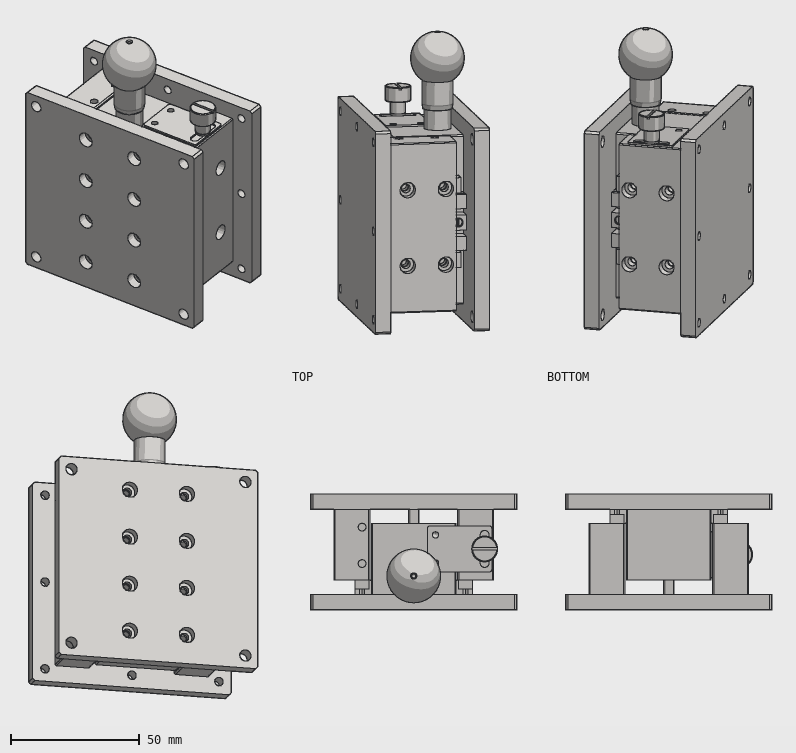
import cadquery as cq
import math


plate_size = 80.0
plate_thickness = 6.0
plate_corner_chamfer = 0.9
mid_z = plate_size / 2
plate_hole_offset = 35.0
front_corner_hole_diameter = 4.5
back_hole_diameter = 3.3

depth = 45.0
back_plate_y = depth - plate_thickness
block_back_y = 33.5
rail_front_y = 11.5

body_height = 66.9
body_bottom_z = mid_z - body_height / 2
body_top_z = mid_z + body_height / 2
rail_outer_x = 31.0
rail_inner_x = 17.0
block_half_width = 16.5
end_chamfer = 0.6
rail_outer_chamfer = 0.5

counterbore_diameter = 6.0
counterbore_depth = 4.0
clearance_diameter = 3.5
plate_bolt_x = 11.5
plate_bolt_pitch = 19.0
plate_bolt_rows = 4
plate_tap_diameter = 2.5
plate_tap_depth = 6.7
drill_point_angle = 118.0
rail_bolt_y = (15.6, 30.7)
rail_bolt_offset_z = 14.9
rail_clearance_depth = 7.8
rail_tap_diameter = 3.0
rail_tap_depth = 11.1

rail_top_hole_x = -20.1
rail_top_hole_y = (18.0, 32.1)
rail_top_hole_diameter = 3.0
rail_top_hole_depth = 5.6

lug_outer_x = 22.9
stop_inner_x = 17.4
stop_front_y = 8.0
stop_height = 6.0
stop_offset_z = 14.7
lug_height = 5.6
lug_offset_z = 8.2
lug_groove_x = 20.1
lug_groove_half_width = 1.0
lug_notch_diameter = 1.6
lug_notch_setback = 0.5
centre_lug_height = 6.0
set_screw_y = 9.0
set_screw_hole_diameter = 3.5
set_screw_diameter = 3.0
set_screw_recess = 0.5
set_screw_slot_width = 0.6

guide_pin_diameter = 4.0

clamp_left_x = 5.4
clamp_right_x = 30.3
clamp_width = 18.0
clamp_thickness = 0.7
clamp_corner_radius = 1.0
clamp_y = 23.6
clamp_top_z = body_top_z + clamp_thickness
clamp_screw_x = 27.5
clamp_slot_length = 14.4
clamp_slot_width = 3.5
clamp_stud_diameter = 3.2
clamp_neck_diameter = 5.6
clamp_neck_height = 0.9
clamp_shank_diameter = 6.0
clamp_head_bottom_z = 79.8
clamp_head_top_z = 85.8
clamp_head_diameter = 10.0
clamp_head_chamfer = 0.3
clamp_head_slot_width = 1.0
clamp_head_slot_depth = 0.9
clamp_bolt_x = 8.5
clamp_bolt_offset_y = 5.5
clamp_bolt_diameter = 2.5
clamp_bolt_depth = 3.3

handle_y = 13.2
overall_height = 111.5
ball_radius = 10.5
ball_hole_diameter = 1.6
ball_countersink_diameter = 2.5
ball_hole_depth = 4.5
handle_neck_diameter = 12.2
handle_taper_top_z = 83.3
handle_taper_bottom_z = 81.3
handle_taper_diameter = 11.5
handle_shaft_diameter = 10.6


def box(x_range, y_range, z_range):
    """Box between two limits on each axis."""
    size = [high - low for low, high in (x_range, y_range, z_range)]
    return cq.Workplane().box(*size, centered=False).translate((x_range[0], y_range[0], z_range[0]))


def rod(start, direction, diameter, length):
    """Round bar from a start point along a direction."""
    return cq.Workplane(
        cq.Solid.makeCylinder(diameter / 2, length, cq.Vector(*start), cq.Vector(*direction))
    )


def drilled_hole(start, direction, diameter, depth):
    """Blind hole with a conical drill point, used as a cutting tool."""
    radius = diameter / 2
    point_length = radius / math.tan(math.radians(drill_point_angle / 2))
    way = cq.Vector(*direction)
    tip = cq.Solid.makeCone(radius, 0, point_length, cq.Vector(*start) + way * depth, way)
    return rod(start, direction, diameter, depth).union(cq.Workplane(tip))


def make_plate(front_y):
    """Square plate with chamfered corners."""
    plate = box(
        (-plate_size / 2, plate_size / 2), (front_y, front_y + plate_thickness), (0, plate_size)
    )
    return plate.edges("|Y").chamfer(plate_corner_chamfer)


def make_rail(side):
    """Side rail with its two stop blocks; side is -1 for left and 1 for right."""
    x_range = sorted((side * rail_inner_x, side * rail_outer_x))
    rail = box(x_range, (rail_front_y, back_plate_y), (body_bottom_z, body_top_z))
    inner, outer = (">X", "<X") if side < 0 else ("<X", ">X")
    rail = rail.faces(inner).edges("|Y").chamfer(end_chamfer)
    rail = rail.faces(outer).edges("|Y").chamfer(rail_outer_chamfer)

    for stop_z in (mid_z - stop_offset_z, mid_z + stop_offset_z):
        rail = rail.union(
            box(
                sorted((side * stop_inner_x, side * lug_outer_x)),
                (stop_front_y, rail_front_y),
                (stop_z - stop_height / 2, stop_z + stop_height / 2),
            )
        )

    inward = (-side, 0, 0)
    for y in rail_bolt_y:
        for z in (mid_z - rail_bolt_offset_z, mid_z + rail_bolt_offset_z):
            start = (side * rail_outer_x, y, z)
            rail = rail.cut(rod(start, inward, counterbore_diameter, counterbore_depth))
            rail = rail.cut(rod(start, inward, clearance_diameter, rail_clearance_depth))
            rail = rail.cut(rod(start, inward, rail_tap_diameter, rail_tap_depth))
    return rail


def make_clamp_screw():
    """Slotted screw whose stud passes through the clamp plate onto the right rail."""
    neck_top_z = clamp_top_z + clamp_neck_height
    sections = (
        (clamp_stud_diameter, body_top_z, clamp_top_z),
        (clamp_neck_diameter, clamp_top_z, neck_top_z),
        (clamp_shank_diameter, neck_top_z, clamp_head_bottom_z),
    )
    head_height = clamp_head_top_z - clamp_head_bottom_z
    screw = rod((clamp_screw_x, clamp_y, clamp_head_bottom_z), (0, 0, 1), clamp_head_diameter, head_height)
    screw = screw.edges().chamfer(clamp_head_chamfer)
    half_slot = clamp_head_slot_width / 2
    screw = screw.cut(
        box(
            (clamp_screw_x - clamp_head_diameter, clamp_screw_x + clamp_head_diameter),
            (clamp_y - half_slot, clamp_y + half_slot),
            (clamp_head_top_z - clamp_head_slot_depth, clamp_head_top_z),
        )
    )
    for diameter, low_z, high_z in sections:
        screw = screw.union(rod((clamp_screw_x, clamp_y, low_z), (0, 0, 1), diameter, high_z - low_z))
    return screw


def make_base():
    """Back plate with both rails and the clamp screw fixed in the right rail."""
    base = make_plate(back_plate_y)
    for column in (-1, 0, 1):
        for row in (-1, 0, 1):
            if (column, row) != (0, 0):
                start = (column * plate_hole_offset, back_plate_y, mid_z + row * plate_hole_offset)
                base = base.cut(rod(start, (0, 1, 0), back_hole_diameter, plate_thickness))

    for side in (-1, 1):
        base = base.union(make_rail(side))
    for y in rail_top_hole_y:
        start = (rail_top_hole_x, y, body_top_z)
        base = base.cut(rod(start, (0, 0, -1), rail_top_hole_diameter, rail_top_hole_depth))
    return base.union(make_clamp_screw())


def make_lug(side, end):
    """Lug with a V groove across its outer end; end is -1 for the lower and 1 for the upper one."""
    lug_z = mid_z + end * lug_offset_z
    end_z = lug_z + end * lug_height / 2
    lug = box(
        sorted((side * block_half_width, side * lug_outer_x)),
        (plate_thickness, rail_front_y),
        (lug_z - lug_height / 2, lug_z + lug_height / 2),
    )
    groove_x = side * lug_groove_x
    groove = (
        cq.Workplane("XZ", origin=(0, plate_thickness, 0))
        .polyline(
            [
                (groove_x - lug_groove_half_width, end_z),
                (groove_x, end_z - end * lug_groove_half_width),
                (groove_x + lug_groove_half_width, end_z),
            ]
        )
        .close()
        .extrude(plate_thickness - rail_front_y)
    )
    notch_start = (side * lug_outer_x, rail_front_y + lug_notch_setback, lug_z)
    notch = rod(notch_start, (-side, 0, 0), lug_notch_diameter, lug_outer_x - block_half_width)
    return lug.cut(groove).cut(notch)


def make_centre_lug(side):
    """Middle lug with a slotted set screw sunk in its outer face."""
    lug = box(
        sorted((side * block_half_width, side * lug_outer_x)),
        (plate_thickness, rail_front_y),
        (mid_z - centre_lug_height / 2, mid_z + centre_lug_height / 2),
    )
    inward = (-side, 0, 0)
    sunk_x = lug_outer_x - set_screw_recess
    hole_start = (side * lug_outer_x, set_screw_y, mid_z)
    hole = rod(hole_start, inward, set_screw_hole_diameter, 2 * set_screw_recess)
    screw = rod((side * sunk_x, set_screw_y, mid_z), inward, set_screw_diameter, set_screw_recess)
    slot = box(
        sorted((side * sunk_x, side * (sunk_x - set_screw_recess))),
        (set_screw_y - set_screw_slot_width / 2, set_screw_y + set_screw_slot_width / 2),
        (mid_z - set_screw_diameter / 2, mid_z + set_screw_diameter / 2),
    )
    return lug.cut(hole).union(screw.cut(slot))


def make_clamp_plate():
    """Thin plate on the block's top end, slotted for the clamp screw."""
    plate = box(
        (clamp_left_x, clamp_right_x),
        (clamp_y - clamp_width / 2, clamp_y + clamp_width / 2),
        (body_top_z, clamp_top_z),
    )
    plate = plate.edges("|Z").fillet(clamp_corner_radius)
    slot = (
        cq.Workplane(origin=(clamp_screw_x, clamp_y, body_top_z))
        .slot2D(clamp_slot_length, clamp_slot_width, 90)
        .extrude(clamp_thickness)
    )
    return plate.cut(slot)


def make_slide():
    """Front plate with the sliding block, its lugs, the guide pin and the clamp plate."""
    block = box(
        (-block_half_width, block_half_width),
        (plate_thickness, block_back_y),
        (body_bottom_z, body_top_z),
    )
    block = block.edges("|Y").chamfer(end_chamfer)
    slide = make_plate(0).union(block)

    for side in (-1, 1):
        slide = slide.union(make_centre_lug(side))
        for end in (-1, 1):
            slide = slide.union(make_lug(side, end))

    pin_length = back_plate_y - block_back_y
    slide = slide.union(rod((0, block_back_y, mid_z), (0, 1, 0), guide_pin_diameter, pin_length))

    for column in (-1, 1):
        for row in (-1, 1):
            start = (column * plate_hole_offset, 0, mid_z + row * plate_hole_offset)
            slide = slide.cut(rod(start, (0, 1, 0), front_corner_hole_diameter, plate_thickness))
        for row in range(plate_bolt_rows):
            z = mid_z + (row - (plate_bolt_rows - 1) / 2) * plate_bolt_pitch
            start = (column * plate_bolt_x, 0, z)
            slide = slide.cut(rod(start, (0, 1, 0), counterbore_diameter, counterbore_depth))
            slide = slide.cut(rod(start, (0, 1, 0), clearance_diameter, plate_thickness))
            tap_start = (column * plate_bolt_x, plate_thickness, z)
            slide = slide.cut(drilled_hole(tap_start, (0, 1, 0), plate_tap_diameter, plate_tap_depth))

    slide = slide.union(make_clamp_plate())
    for y in (clamp_y - clamp_bolt_offset_y, clamp_y + clamp_bolt_offset_y):
        start = (clamp_bolt_x, y, clamp_top_z)
        slide = slide.cut(drilled_hole(start, (0, 0, -1), clamp_bolt_diameter, clamp_bolt_depth))
    return slide


def make_handle():
    """Ball on a stepped, tapered stem standing on the block's top end."""
    hole_radius = ball_hole_diameter / 2
    rim_radius = ball_countersink_diameter / 2
    ball_z = overall_height - math.sqrt(ball_radius**2 - rim_radius**2)
    stem = (
        cq.Workplane("XZ")
        .polyline(
            [
                (0, body_top_z),
                (handle_shaft_diameter / 2, body_top_z),
                (handle_shaft_diameter / 2, handle_taper_bottom_z),
                (handle_taper_diameter / 2, handle_taper_bottom_z),
                (handle_neck_diameter / 2, handle_taper_top_z),
                (handle_neck_diameter / 2, ball_z),
                (0, ball_z),
            ]
        )
        .close()
        .revolve(360, (0, 0, 0), (0, 1, 0))
        .translate((0, handle_y, 0))
    )
    ball = cq.Workplane().sphere(ball_radius).translate((0, handle_y, ball_z))
    ball_top = (0, handle_y, overall_height)
    hole = drilled_hole(ball_top, (0, 0, -1), ball_hole_diameter, ball_hole_depth)
    countersink = cq.Workplane(
        cq.Solid.makeCone(
            rim_radius, hole_radius, rim_radius - hole_radius, cq.Vector(*ball_top), cq.Vector(0, 0, -1)
        )
    )
    pole = rod(ball_top, (0, 0, 1), ball_countersink_diameter, ball_radius)
    return stem.union(ball).cut(hole).cut(countersink).cut(pole)


base = make_base()
slide = make_slide()
handle = make_handle()

result = cq.Compound.makeCompound([
    *base.solids().vals(),
    *slide.solids().vals(),
    *handle.solids().vals(),
])